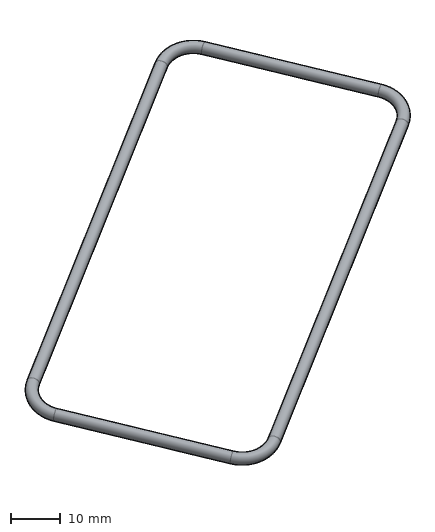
import cadquery as cq

outer_width = 53.4
outer_length = 102.5
wire_diameter = 2.7
bend_radius = 6.8

wire_radius = wire_diameter / 2
half_width = outer_width / 2 - wire_radius
half_length = outer_length / 2 - wire_radius
bend_x = half_width - bend_radius
bend_y = half_length - bend_radius

centreline = (
    cq.Workplane("XY")
    .moveTo(half_width, -bend_y)
    .lineTo(half_width, bend_y)
    .radiusArc((bend_x, half_length), -bend_radius)
    .lineTo(-bend_x, half_length)
    .radiusArc((-half_width, bend_y), -bend_radius)
    .lineTo(-half_width, -bend_y)
    .radiusArc((-bend_x, -half_length), -bend_radius)
    .lineTo(bend_x, -half_length)
    .radiusArc((half_width, -bend_y), -bend_radius)
    .close()
)

section = cq.Workplane("XZ", origin=(half_width, -bend_y, 0)).circle(wire_radius)
result = section.sweep(centreline)